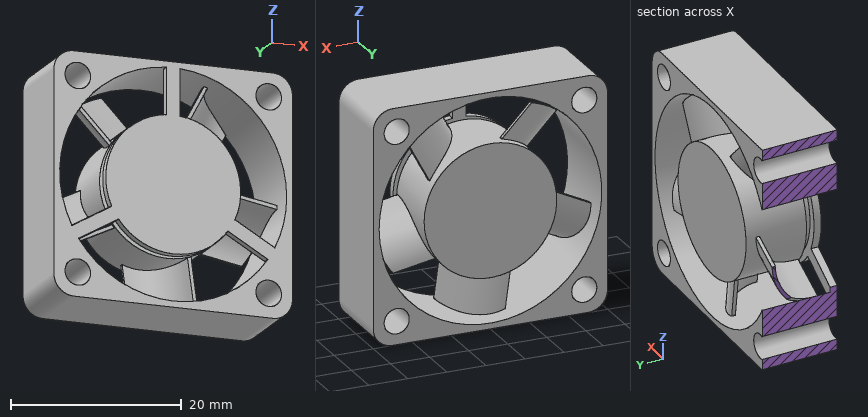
import cadquery as cq
import math

SIDE = 30.0
DEPTH = 10.0
CORNER_RADIUS = 2.5
BORE_RADIUS = 14.25
SCREW_HOLE_DIAMETER = 3.2
SCREW_SPACING = 24.0
FRONT = -DEPTH / 2
BACK = DEPTH / 2

MOUNT_RADIUS = 8.5
MOUNT_THICKNESS = 1.0
BOSS_RADIUS = 7.5
SPOKE_WIDTH = 1.75
SPOKE_COUNT = 3

HUB_RADIUS = MOUNT_RADIUS
HUB_GAP = 1.0
HUB_FRONT = FRONT + MOUNT_THICKNESS + HUB_GAP
BLADE_COUNT = 5
FIRST_BLADE_ANGLE = 61.8
BLADE_FRONT_SETBACK = 0.25
BLADE_FRONT = HUB_FRONT + BLADE_FRONT_SETBACK
BLADE_THICKNESS = 0.48
BLADE_OUTER_RADIUS = 6.48
BLADE_INNER_RADIUS = BLADE_OUTER_RADIUS - BLADE_THICKNESS
BLADE_CONVEX_OFFSET = 2.0
BLADE_SWEEP = 88.0
TIP_ARC_RADIUS = 9.3
TIP_ARC_OFFSET = 0.15
BLADE_TIP = 13.95
BLADE_ROOT_OVERLAP = 0.3


def cylinder(radius, start, end):
    """Cylinder about the Y axis between two Y positions."""
    return cq.Workplane("XZ", origin=(0, start, 0)).circle(radius).extrude(start - end)


def make_housing():
    """Square frame with a round bore, carrying the motor mount on three spokes."""
    frame = (
        cq.Workplane("XY").box(SIDE, DEPTH, SIDE)
        .edges("|Y").fillet(CORNER_RADIUS)
        .cut(cylinder(BORE_RADIUS, FRONT, BACK))
    )
    screw_holes = (
        cq.Workplane("XZ", origin=(0, FRONT, 0))
        .rect(SCREW_SPACING, SCREW_SPACING, forConstruction=True).vertices()
        .circle(SCREW_HOLE_DIAMETER / 2).extrude(-DEPTH)
    )
    frame = frame.cut(screw_holes)

    mount = cylinder(MOUNT_RADIUS, FRONT, FRONT + MOUNT_THICKNESS)
    mount = mount.union(cylinder(BOSS_RADIUS, FRONT, HUB_FRONT))
    spoke_length = (BORE_RADIUS + SIDE / 2) / 2
    spoke = cq.Workplane("XY").box(SPOKE_WIDTH, MOUNT_THICKNESS, spoke_length)
    spoke = spoke.translate((0, FRONT + MOUNT_THICKNESS / 2, spoke_length / 2))
    for index in range(SPOKE_COUNT):
        angle = index * 360 / SPOKE_COUNT
        mount = mount.union(spoke.rotate((0, 0, 0), (0, 1, 0), angle))
    return frame.union(mount)


def make_blade():
    """Curved blade pointing along +X, with a rounded tip."""
    arc_center_offset = BLADE_CONVEX_OFFSET - BLADE_OUTER_RADIUS

    def arc_point(radius, angle):
        turn = math.radians(angle)
        return (
            arc_center_offset + radius * math.cos(turn),
            BLADE_FRONT + radius * math.sin(turn),
        )

    section_plane = cq.Plane(origin=(0, 0, 0), xDir=(0, 0, 1), normal=(-1, 0, 0))
    section = (
        cq.Workplane(section_plane)
        .moveTo(*arc_point(BLADE_OUTER_RADIUS, 0))
        .threePointArc(
            arc_point(BLADE_OUTER_RADIUS, BLADE_SWEEP / 2),
            arc_point(BLADE_OUTER_RADIUS, BLADE_SWEEP),
        )
        .lineTo(*arc_point(BLADE_INNER_RADIUS, BLADE_SWEEP))
        .threePointArc(
            arc_point(BLADE_INNER_RADIUS, BLADE_SWEEP / 2),
            arc_point(BLADE_INNER_RADIUS, 0),
        )
        .close().extrude(-SIDE / 2)
    )
    tip = cylinder(TIP_ARC_RADIUS, FRONT, BACK)
    tip = tip.translate((BLADE_TIP - TIP_ARC_RADIUS, 0, TIP_ARC_OFFSET))
    return section.intersect(tip).cut(cylinder(HUB_RADIUS - BLADE_ROOT_OVERLAP, FRONT, BACK))


def make_rotor():
    """Hub with a ring of blades."""
    rotor = cylinder(HUB_RADIUS, HUB_FRONT, BACK)
    blade = make_blade()
    for index in range(BLADE_COUNT):
        angle = FIRST_BLADE_ANGLE + index * 360 / BLADE_COUNT
        rotor = rotor.union(blade.rotate((0, 0, 0), (0, 1, 0), -angle))
    return rotor


housing = make_housing()
rotor = make_rotor()
result = cq.Compound.makeCompound([housing.val(), rotor.val()])